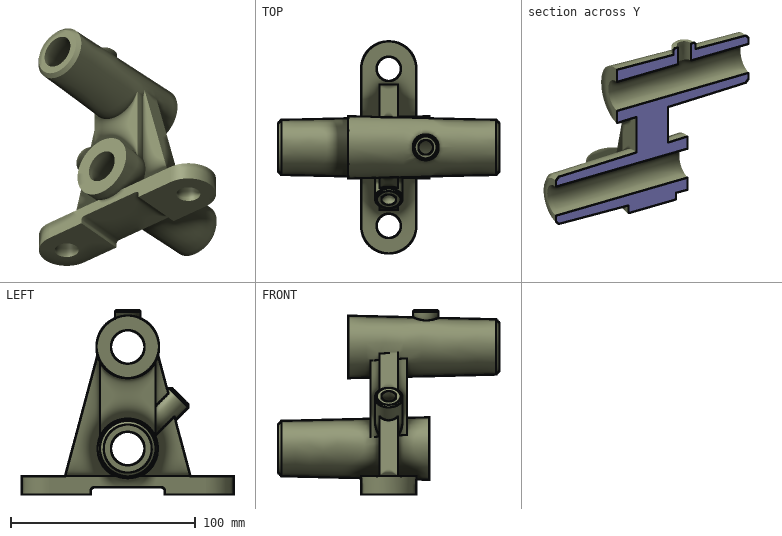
import cadquery as cq
import math

PLATE_WIDTH = 30.0
PLATE_LENGTH = 115.0
PLATE_THICKNESS = 10.0
BOLT_SPACING = PLATE_LENGTH - PLATE_WIDTH
BOLT_HOLE_DIAMETER = 13.0
RELIEF_LENGTH = 40.0
RELIEF_DEPTH = 4.0
RELIEF_FILLET = 2.0

TUBE_LENGTH = 82.0
TUBE_OVERHANG = 60.0
TUBE_LARGE_RADIUS = 17.0
TUBE_SMALL_RADIUS = 15.0
TUBE_CHAMFER = 2.0
BORE_DIAMETER = 18.0
LOWER_AXIS_Z = 25.0
UPPER_AXIS_Z = 80.0

WEB_THICKNESS = 10.0
WEB_BASE_WIDTH = 68.0
WEB_SIDE_ANGLE = 15.0
COLUMN_THICKNESS = 20.0
COLUMN_WIDTH = 30.0

OIL_HOLE_DIAMETER = 8.0
UPPER_BOSS_DIAMETER = 14.0
UPPER_BOSS_X = 20.0
UPPER_BOSS_LENGTH = 20.0
LOWER_BOSS_DIAMETER = 15.0
LOWER_BOSS_LENGTH = 40.0
BOSS_CHAMFER = 1.0

UP = cq.Vector(0, 0, 1)
TOWARD_FRONT_AND_UP = cq.Vector(0, -1, 1)
UPPER_BOSS_START = cq.Vector(UPPER_BOSS_X, 0, UPPER_AXIS_Z)
LOWER_BOSS_START = cq.Vector(0, 0, LOWER_AXIS_Z)


def base_plate():
    plate = cq.Workplane("XY").slot2D(PLATE_LENGTH, PLATE_WIDTH, 90).extrude(PLATE_THICKNESS)
    bolt_holes = (
        cq.Workplane("XY")
        .pushPoints([(0, -BOLT_SPACING / 2), (0, BOLT_SPACING / 2)])
        .circle(BOLT_HOLE_DIAMETER / 2)
        .extrude(PLATE_THICKNESS)
    )
    relief = (
        cq.Workplane("XY")
        .box(PLATE_WIDTH, RELIEF_LENGTH, RELIEF_DEPTH, centered=(True, True, False))
        .edges("|X and >Z")
        .fillet(RELIEF_FILLET)
    )
    return plate.cut(bolt_holes).cut(relief)


def tapered_tube(axis_z, direction):
    """Solid tapered tube whose thin, chamfered end faces +X (direction 1) or -X (direction -1)."""
    thin_end = direction * TUBE_OVERHANG
    thick_end = direction * (TUBE_OVERHANG - TUBE_LENGTH)
    return (
        cq.Workplane("XZ")
        .moveTo(thick_end, 0)
        .lineTo(thick_end, TUBE_LARGE_RADIUS)
        .lineTo(thin_end, TUBE_SMALL_RADIUS)
        .lineTo(thin_end, 0)
        .close()
        .revolve(360, (0, 0, 0), (1, 0, 0))
        .faces(">X" if direction > 0 else "<X")
        .chamfer(TUBE_CHAMFER)
        .translate((0, 0, axis_z))
    )


def tube_bore(axis_z):
    return (
        cq.Workplane("YZ", origin=(-TUBE_OVERHANG, 0, axis_z))
        .circle(BORE_DIAMETER / 2)
        .extrude(2 * TUBE_OVERHANG)
    )


def web():
    height = UPPER_AXIS_Z - PLATE_THICKNESS
    top_half_width = WEB_BASE_WIDTH / 2 - height * math.tan(math.radians(WEB_SIDE_ANGLE))
    return (
        cq.Workplane("YZ")
        .moveTo(-WEB_BASE_WIDTH / 2, PLATE_THICKNESS)
        .lineTo(WEB_BASE_WIDTH / 2, PLATE_THICKNESS)
        .lineTo(top_half_width, UPPER_AXIS_Z)
        .lineTo(-top_half_width, UPPER_AXIS_Z)
        .close()
        .extrude(WEB_THICKNESS / 2, both=True)
    )


def column():
    height = UPPER_AXIS_Z - LOWER_AXIS_Z
    return (
        cq.Workplane("XY", origin=(0, 0, LOWER_AXIS_Z))
        .rect(COLUMN_THICKNESS, COLUMN_WIDTH)
        .extrude(height)
    )


def rod(start, direction, diameter, length):
    """Cylinder standing on a tube axis."""
    return cq.Workplane(cq.Plane(start, (1, 0, 0), direction)).circle(diameter / 2).extrude(length)


def oil_boss(start, direction, diameter, length):
    outer_face = cq.DirectionMinMaxSelector(direction, True)
    return rod(start, direction, diameter, length).faces(outer_face).chamfer(BOSS_CHAMFER)


body = (
    base_plate()
    .union(web())
    .union(column())
    .union(tapered_tube(LOWER_AXIS_Z, -1))
    .union(tapered_tube(UPPER_AXIS_Z, 1))
    .union(oil_boss(UPPER_BOSS_START, UP, UPPER_BOSS_DIAMETER, UPPER_BOSS_LENGTH))
    .union(oil_boss(LOWER_BOSS_START, TOWARD_FRONT_AND_UP, LOWER_BOSS_DIAMETER, LOWER_BOSS_LENGTH))
)

result = (
    body.cut(tube_bore(LOWER_AXIS_Z))
    .cut(tube_bore(UPPER_AXIS_Z))
    .cut(rod(UPPER_BOSS_START, UP, OIL_HOLE_DIAMETER, UPPER_BOSS_LENGTH))
    .cut(rod(LOWER_BOSS_START, TOWARD_FRONT_AND_UP, OIL_HOLE_DIAMETER, LOWER_BOSS_LENGTH))
)